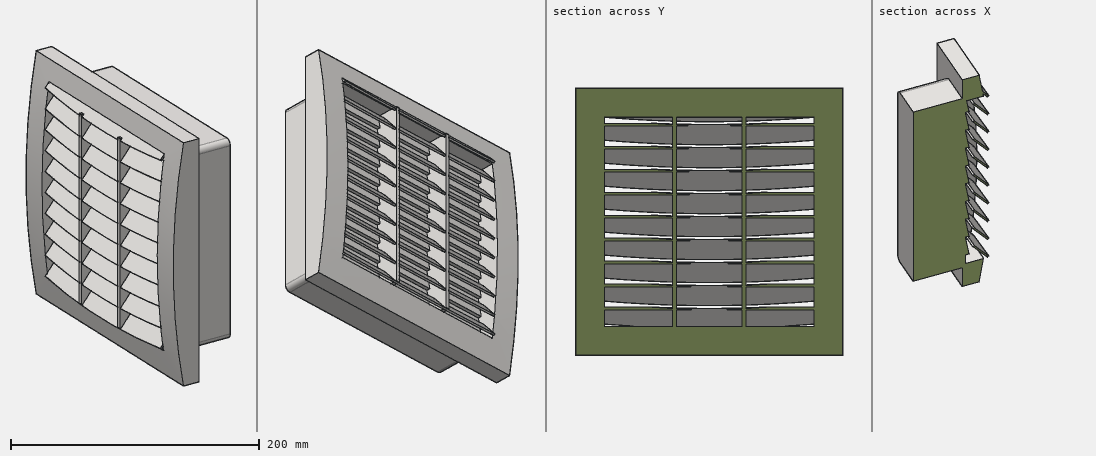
import cadquery as cq
import math

frame_size = 215
frame_edge_depth = 15.0
frame_crown_depth = 25.0

housing_size = 176.0
housing_depth = 43.0
housing_corner_radius = 5.0

window_size = 168.1
pocket_floor_depth = 3.0
bar_spacing = 56.0
bar_width = 3.5

slat_count = 10
slat_pitch = 18.5
slat_top_row_z = 81.5
slat_length = 20.0
slat_thickness = 1.7
slat_bow = 3.0
slat_slope = math.radians(50)

facet_lean = math.radians(10)
facet_rise_above_slat = slat_pitch / 2

slat_row_heights = [slat_top_row_z - slat_pitch * row for row in range(slat_count)]


def make_frame():
    half = frame_size / 2
    return (
        cq.Workplane("YZ")
        .moveTo(0, -half)
        .lineTo(-frame_edge_depth, -half)
        .threePointArc((-frame_crown_depth, 0), (-frame_edge_depth, half))
        .lineTo(0, half)
        .close()
        .extrude(half, both=True)
    )


def make_housing():
    return (
        cq.Workplane("XY")
        .box(housing_size, housing_depth, housing_size)
        .edges("|Y")
        .fillet(housing_corner_radius)
        .translate((0, housing_depth / 2, 0))
    )


def make_block(width, back_depth, front_depth):
    """Block as tall as the window, between two depths, centred on X = 0."""
    depth = front_depth - back_depth
    centre_depth = (front_depth + back_depth) / 2
    return cq.Workplane("XY").box(width, depth, window_size).translate((0, -centre_depth, 0))


def make_slat(front_z):
    """Plate drawn in its own tilted plane, with local Y running up the slope."""
    slat_plane = cq.Plane(
        origin=(0, -frame_crown_depth, front_z),
        xDir=(1, 0, 0),
        normal=(0, -math.sin(slat_slope), math.cos(slat_slope)),
    )
    half_width = window_size / 2
    end_rise = slat_bow / math.cos(slat_slope)
    return (
        cq.Workplane(slat_plane)
        .moveTo(-half_width, end_rise)
        .threePointArc((0, 0), (half_width, end_rise))
        .lineTo(half_width, end_rise + slat_length)
        .threePointArc((0, slat_length), (-half_width, end_rise + slat_length))
        .close()
        .extrude(-slat_thickness)
    )


def make_floor_facet(front_z):
    top = front_z + facet_rise_above_slat
    bottom = top - slat_pitch
    foot_depth = pocket_floor_depth + slat_pitch * math.tan(facet_lean)
    return (
        cq.Workplane("YZ")
        .moveTo(-pocket_floor_depth, top)
        .lineTo(-foot_depth, bottom)
        .lineTo(-pocket_floor_depth, bottom)
        .close()
        .extrude(window_size / 2, both=True)
    )


window = make_block(window_size, pocket_floor_depth, frame_crown_depth)
result = make_frame().cut(window).union(make_housing())

for row_z in slat_row_heights[:-1]:
    result = result.union(make_floor_facet(row_z))

for row_z in slat_row_heights:
    result = result.union(make_slat(row_z))

bar = make_block(bar_width, pocket_floor_depth, frame_crown_depth)
for side in (-1, 1):
    result = result.union(bar.translate((side * bar_spacing / 2, 0, 0)))